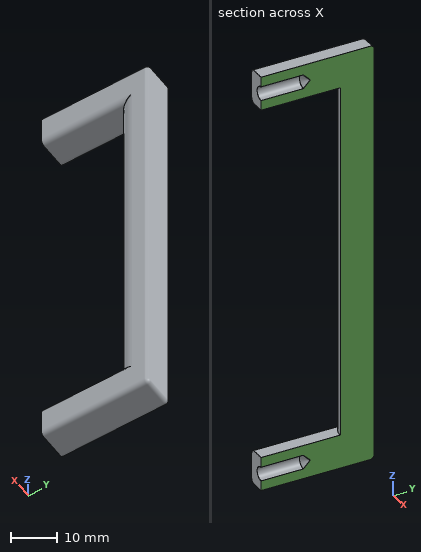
import cadquery as cq

length = 104.5
depth = 28.0
bar_size = 8.5

outer_fillet = 1.0
inner_fillet = 1.3

hole_diameter = 3.3
hole_depth = 10.5
tip_height = hole_diameter / 2

mount_y = -depth / 2
back_y = depth / 2
grip_round_radius = bar_size / 2
grip_center_y = back_y - grip_round_radius
leg_center_z = (length - bar_size) / 2


def make_leg(side):
    """Square leg at the top (side = 1) or bottom (side = -1), rounded on its inner edges."""
    inner_face = "<Z" if side > 0 else ">Z"
    leg = cq.Workplane("XY").box(bar_size, depth, bar_size)
    leg = leg.faces(inner_face).edges("|Y").fillet(inner_fillet)
    return leg.translate((0, 0, side * leg_center_z))


def make_grip():
    """Vertical grip, flat at the back and half round toward the mounting faces."""
    half_width = bar_size / 2
    return (
        cq.Workplane("XY", origin=(0, 0, -length / 2))
        .moveTo(half_width, back_y)
        .lineTo(-half_width, back_y)
        .lineTo(-half_width, grip_center_y)
        .threePointArc((0, grip_center_y - grip_round_radius), (half_width, grip_center_y))
        .close()
        .extrude(length)
    )


def make_screw_hole(side):
    """Blind hole with a conical bottom, running from the mounting face along +Y."""
    radius = hole_diameter / 2
    return (
        cq.Workplane("XY")
        .moveTo(0, mount_y)
        .lineTo(radius, mount_y)
        .lineTo(radius, mount_y + hole_depth)
        .lineTo(0, mount_y + hole_depth + tip_height)
        .close()
        .revolve(360, (0, 0, 0), (0, 1, 0))
        .translate((0, 0, side * leg_center_z))
    )


handle = make_grip()
for side in (1, -1):
    handle = handle.union(make_leg(side))
handle = handle.clean()

back_edges = handle.faces(">Y").edges()
end_edges = handle.faces("<Z or >Z").edges("|Y")
handle = handle.newObject(back_edges.vals() + end_edges.vals()).fillet(outer_fillet)

for side in (1, -1):
    handle = handle.cut(make_screw_hole(side))

result = handle